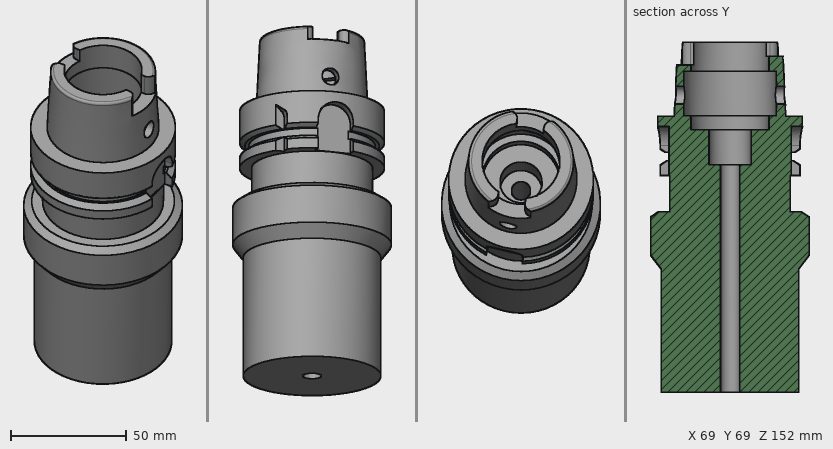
import cadquery as cq
import math

total_height = 152
body_top = 53.5
collar_bottom = 59.5
collar_shoulder = 76.2
collar_top = 78.5
flange_bottom = 94.1
groove_lower_edge = 98.6
groove_floor_bottom = 100.6
groove_floor_top = 104.1
groove_upper_edge = 105.6
flange_top = 120.0

body_radius = 30.0
collar_radius = 34.5
collar_top_radius = 31.0
neck_radius = 26.3
flange_radius = 31.5
groove_radius = 27.5
lower_lip_radius = 28.5
upper_lip_radius = 29.2
taper_base_radius = 24.3
taper_end_radius = 22.8
rim_round = 1.2

coolant_radius = 4.1
counterbore_radius = 9.1
bore_radius = 16.9
undercut_radius = 20.0
counterbore_floor = 98.8
bore_floor = 114
undercut_bottom = 120.1
undercut_top = 139.4

drive_half_width = 6.1
drive_corner_radius = 3.3
drive_corner_x = 17.3
shallow_drive_floor = 145.9
deep_drive_floor = 142.1

keyway_half_width = 8.0
keyway_floor = 26.6
keyway_top = 115.4
cross_hole_radius = 3.8
cross_hole_height = 129.0

notch_corner = 20.2
notch_round = 3
notch_round_start = 109.7

cut_reach = 38


def turned_blank():
    """Revolved outside of the holder, from the base up to the taper rim."""
    round_offset = rim_round * math.sin(math.radians(45))
    round_center_r = taper_end_radius - rim_round
    round_center_z = total_height - rim_round
    return (
        cq.Workplane("XZ")
        .lineTo(body_radius, 0)
        .lineTo(body_radius, body_top)
        .lineTo(collar_radius, collar_bottom)
        .lineTo(collar_radius, collar_shoulder)
        .lineTo(collar_top_radius, collar_top)
        .lineTo(neck_radius, collar_top)
        .lineTo(neck_radius, flange_bottom)
        .lineTo(flange_radius, flange_bottom)
        .lineTo(flange_radius, groove_lower_edge)
        .lineTo(lower_lip_radius, groove_floor_bottom)
        .lineTo(groove_radius, groove_floor_bottom)
        .lineTo(groove_radius, groove_floor_top)
        .lineTo(upper_lip_radius, groove_floor_top)
        .lineTo(flange_radius, groove_upper_edge)
        .lineTo(flange_radius, flange_top)
        .lineTo(taper_base_radius, flange_top)
        .lineTo(taper_end_radius, round_center_z)
        .threePointArc(
            (round_center_r + round_offset, round_center_z + round_offset),
            (round_center_r, total_height),
        )
        .lineTo(0, total_height)
        .close()
        .revolve(360, (0, 0), (0, 1))
    )


def central_bore():
    """Revolved bore: coolant hole, counterbore, undercut and rim bore."""
    return (
        cq.Workplane("XZ")
        .lineTo(coolant_radius, 0)
        .lineTo(coolant_radius, counterbore_floor)
        .lineTo(counterbore_radius, counterbore_floor)
        .lineTo(counterbore_radius, bore_floor)
        .lineTo(bore_radius, bore_floor)
        .lineTo(bore_radius, undercut_bottom)
        .lineTo(undercut_radius, undercut_bottom)
        .lineTo(undercut_radius, undercut_top)
        .lineTo(bore_radius, undercut_top)
        .lineTo(bore_radius, total_height)
        .lineTo(0, total_height)
        .close()
        .revolve(360, (0, 0), (0, 1))
    )


def drive_slot(floor, turn):
    """Rim slot along +X with rounded outer corners, turned about Z."""
    mouth_x = drive_corner_x + drive_corner_radius
    mouth_y = drive_half_width + drive_corner_radius
    return (
        cq.Workplane("XY", origin=(0, 0, floor))
        .moveTo(0, -drive_half_width)
        .lineTo(drive_corner_x, -drive_half_width)
        .radiusArc((mouth_x, -mouth_y), drive_corner_radius)
        .lineTo(cut_reach, -mouth_y)
        .lineTo(cut_reach, mouth_y)
        .lineTo(mouth_x, mouth_y)
        .radiusArc((drive_corner_x, drive_half_width), drive_corner_radius)
        .lineTo(0, drive_half_width)
        .close()
        .extrude(total_height - floor)
        .rotate((0, 0, 0), (0, 0, 1), turn)
    )


def keyway(turn):
    """Round-topped, flat-floored keyway on the +X side, turned about Z."""
    return (
        cq.Workplane("YZ", origin=(keyway_floor, 0, 0))
        .moveTo(-keyway_half_width, flange_bottom)
        .lineTo(keyway_half_width, flange_bottom)
        .lineTo(keyway_half_width, keyway_top - keyway_half_width)
        .threePointArc((0, keyway_top), (-keyway_half_width, keyway_top - keyway_half_width))
        .close()
        .extrude(cut_reach - keyway_floor)
        .rotate((0, 0, 0), (0, 0, 1), turn)
    )


def orientation_notch():
    """Corner notch on the -X +Y side with a 45 degree ceiling rising towards +Y."""
    round_angle = math.radians(45)
    slope_y = notch_corner + notch_round * (1 - math.cos(round_angle))
    slope_z = notch_round_start + notch_round * math.sin(round_angle)
    mid_y = notch_corner + notch_round * (1 - math.cos(round_angle / 2))
    mid_z = notch_round_start + notch_round * math.sin(round_angle / 2)
    return (
        cq.Workplane("YZ", origin=(-notch_corner, 0, 0))
        .moveTo(notch_corner, flange_bottom)
        .lineTo(notch_corner, notch_round_start)
        .threePointArc((mid_y, mid_z), (slope_y, slope_z))
        .lineTo(flange_radius, slope_z + flange_radius - slope_y)
        .lineTo(flange_radius, flange_bottom)
        .close()
        .extrude(notch_corner - cut_reach)
    )


cross_hole = (
    cq.Workplane("YZ")
    .center(0, cross_hole_height)
    .circle(cross_hole_radius)
    .extrude(cut_reach, both=True)
)

result = turned_blank().cut(central_bore()).cut(cross_hole).cut(orientation_notch())
for floor, turn in ((deep_drive_floor, 0), (shallow_drive_floor, 180)):
    result = result.cut(drive_slot(floor, turn)).cut(keyway(turn))